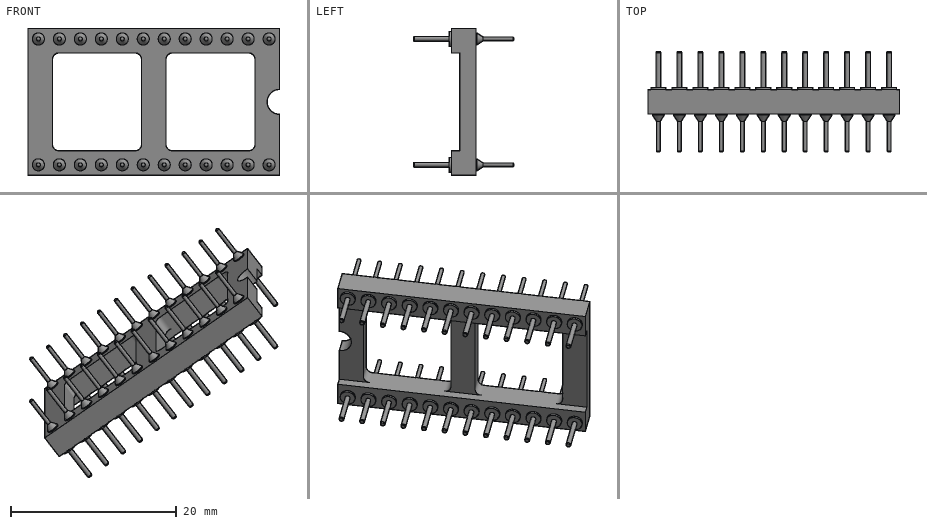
import cadquery as cq
pin_count = 12
row_spacing = 15.25
frame_length = 30.48
pin_pitch = frame_length / pin_count
frame_height = row_spacing + pin_pitch
frame_depth = 3.0

rail_height = 3.0
web_recess = 1.0

window_count = 2
post_width = 3.0
window_length = (frame_length - (window_count + 1) * post_width) / window_count
window_height = frame_height - 2 * rail_height
window_radius = 0.75

notch_radius = 1.5

front_reach = 4.6
back_reach = 4.6
collar_length = 0.85
collar_base_radius = 0.73
collar_rim = 0.12
tip_radius = 0.25
tip_dome_height = 0.15
flange_radius = 0.9
flange_thickness = 0.27
tail_radius = 0.3
tail_chamfer_length = 0.15
tail_chamfer_inset = 0.05


def make_frame():
    """Plate with a recessed back, two windows and an end notch."""
    frame = cq.Workplane("XY").box(frame_length, frame_depth, frame_height)
    frame = frame.translate((0, frame_depth / 2, 0))
    recess = cq.Workplane("XY").box(frame_length, web_recess, window_height)
    frame = frame.cut(recess.translate((0, frame_depth - web_recess / 2, 0)))

    window = (
        cq.Workplane("XY")
        .box(window_length, frame_depth, window_height)
        .edges("|Y")
        .fillet(window_radius)
    )
    window_pitch = window_length + post_width
    for index in range(window_count):
        window_x = (index - (window_count - 1) / 2) * window_pitch
        frame = frame.cut(window.translate((window_x, frame_depth / 2, 0)))

    notch = cq.Workplane("XZ").center(frame_length / 2, 0).circle(notch_radius).extrude(-frame_depth)
    return frame.cut(notch)


def make_pin():
    """Pin on the Y axis: domed front tip, tapered collar, shank, back flange and tail."""
    front_end = -front_reach
    back_end = frame_depth + back_reach
    flange_face = frame_depth + flange_thickness
    dome_start = front_end + tip_dome_height
    dome_radius = (tip_radius**2 + tip_dome_height**2) / (2 * tip_dome_height)
    outline_behind_tip = [
        (tip_radius, -collar_length),
        (collar_base_radius, -collar_rim),
        (collar_base_radius, frame_depth),
        (flange_radius, frame_depth),
        (flange_radius, flange_face),
        (tail_radius, flange_face),
        (tail_radius, back_end - tail_chamfer_length),
        (tail_radius - tail_chamfer_inset, back_end),
        (0, back_end),
    ]
    half_profile = (
        cq.Workplane("XY")
        .moveTo(0, front_end)
        .radiusArc((tip_radius, dome_start), -dome_radius)
        .polyline(outline_behind_tip, includeCurrent=True)
        .close()
    )
    return half_profile.revolve(360, (0, 0, 0), (0, 1, 0))


pin_places = [
    cq.Location(cq.Vector((index - (pin_count - 1) / 2) * pin_pitch, 0, row_z))
    for row_z in (-row_spacing / 2, row_spacing / 2)
    for index in range(pin_count)
]
pin_shape = make_pin().val()
result = make_frame()
for place in pin_places:
    result = result.union(cq.Workplane(obj=pin_shape.located(place)))